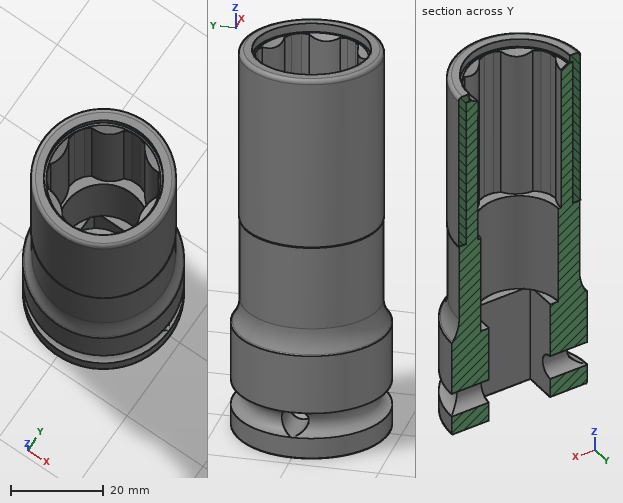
import cadquery as cq
import math


total_height = 90.0
base_height = 25.0
shoulder_height = 50.0

base_radius = 17.5
body_radius = 15.6
base_chamfer = 0.3
shoulder_chamfer = 0.3
neck_blend_radius = 10.0

groove_height = 8.0
groove_radius = 3.0
pin_hole_radius = groove_radius

sleeve_radius = 15.75
sleeve_wall = 2.0
sleeve_mouth_radius = 12.9
sleeve_fillet = 1.0
neck_radius = sleeve_radius - sleeve_wall
socket_top = total_height - sleeve_wall

drive_width = 15.8
bore_radius = 9.95

hex_sides = 6
hex_step = 360.0 / hex_sides
lobe_radius = 10.62
lobe_end_radius = 12.03
lobe_half_angle = 16.7
corner_radius = 12.35
corner_half_angle = 5.3
lead_in_radius = 12.4
lead_in_angle = 30.0


def polar(radius, degrees):
    angle = math.radians(degrees)
    return (radius * math.cos(angle), radius * math.sin(angle))


def make_socket_blank():
    """Turned outside of the socket, without groove or cavities."""
    blend_end_radius = base_radius - base_chamfer
    blend_reach = blend_end_radius - body_radius
    blend_drop = math.sqrt(neck_blend_radius**2 - (neck_blend_radius - blend_reach) ** 2)
    blend_top = base_height + blend_drop
    half_sweep = math.asin(blend_drop / neck_blend_radius) / 2
    blend_middle = (
        body_radius + neck_blend_radius * (1 - math.cos(half_sweep)),
        blend_top - neck_blend_radius * math.sin(half_sweep),
    )
    profile = (
        cq.Workplane("XZ")
        .moveTo(0, 0)
        .lineTo(base_radius - base_chamfer, 0)
        .lineTo(base_radius, base_chamfer)
        .lineTo(base_radius, base_height - base_chamfer)
        .lineTo(blend_end_radius, base_height)
        .threePointArc(blend_middle, (body_radius, blend_top))
        .lineTo(body_radius, shoulder_height - shoulder_chamfer)
        .lineTo(body_radius - shoulder_chamfer, shoulder_height)
        .lineTo(neck_radius, shoulder_height)
        .lineTo(neck_radius, socket_top)
        .lineTo(0, socket_top)
        .close()
    )
    return profile.revolve(360, (0, 0, 0), (0, 1, 0))


def make_groove():
    """Ring of round section, centred on the base surface."""
    return (
        cq.Workplane("XZ")
        .center(base_radius, groove_height)
        .circle(groove_radius)
        .revolve(360, (-base_radius, 0, 0), (-base_radius, 1, 0))
    )


def make_pin_hole():
    return (
        cq.Workplane("YZ")
        .center(0, groove_height)
        .circle(pin_hole_radius)
        .extrude(base_radius, both=True)
    )


def make_drive_square():
    return cq.Workplane("XY").rect(drive_width, drive_width).extrude(base_height)


def make_bore():
    return (
        cq.Workplane("XY")
        .workplane(offset=base_height)
        .circle(bore_radius)
        .extrude(socket_top - base_height)
    )


def make_hex_cavity():
    """Hexagon with sides bulging inward and corners rounded about the axis."""
    outline = (
        cq.Workplane("XY")
        .workplane(offset=shoulder_height)
        .moveTo(*polar(lobe_end_radius, -lobe_half_angle))
    )
    for side in range(hex_sides):
        middle = side * hex_step
        corner = middle + hex_step / 2
        next_side = middle + hex_step
        outline = (
            outline
            .threePointArc(polar(lobe_radius, middle), polar(lobe_end_radius, middle + lobe_half_angle))
            .lineTo(*polar(corner_radius, corner - corner_half_angle))
            .threePointArc(polar(corner_radius, corner), polar(corner_radius, corner + corner_half_angle))
        )
        if side < hex_sides - 1:
            outline = outline.lineTo(*polar(lobe_end_radius, next_side - lobe_half_angle))
    return outline.close().extrude(socket_top - shoulder_height)


def make_lead_in():
    """Cone that bevels the mouth of the hexagon."""
    depth = lead_in_radius * math.tan(math.radians(lead_in_angle))
    return (
        cq.Workplane("XZ")
        .moveTo(0, socket_top)
        .lineTo(lead_in_radius, socket_top)
        .lineTo(0, socket_top - depth)
        .close()
        .revolve(360, (0, 0, 0), (0, 1, 0))
    )


def make_socket():
    return (
        make_socket_blank()
        .cut(make_groove())
        .cut(make_pin_hole())
        .cut(make_drive_square())
        .cut(make_bore())
        .cut(make_hex_cavity())
        .cut(make_lead_in())
    )


def make_sleeve():
    """Tube around the socket neck with an inward lip over the socket's top face."""
    tube = (
        cq.Workplane("XY")
        .workplane(offset=shoulder_height)
        .circle(sleeve_radius)
        .extrude(total_height - shoulder_height)
        .faces(">Z")
        .edges()
        .fillet(sleeve_fillet)
    )
    neck_space = (
        cq.Workplane("XY")
        .workplane(offset=shoulder_height)
        .circle(neck_radius)
        .extrude(socket_top - shoulder_height)
    )
    mouth = (
        cq.Workplane("XY")
        .workplane(offset=socket_top)
        .circle(sleeve_mouth_radius)
        .extrude(sleeve_wall)
    )
    return tube.cut(neck_space).cut(mouth)


socket = make_socket()
sleeve = make_sleeve()

result = cq.Compound.makeCompound([socket.val(), sleeve.val()])